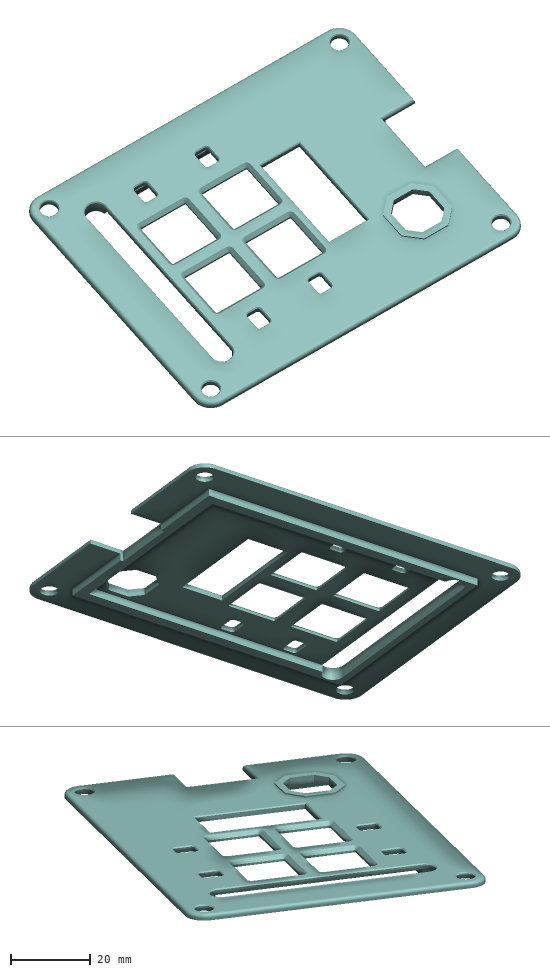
import cadquery as cq
plate_width = 80
plate_length = 100
plate_thickness = 1.6
corner_radius = 5
edge_radius = 1

collar_height = 0.4
collar_x = 20
collar_y = 29.9
collar_width = 16.2
collar_length = 15.7
collar_corner = 4.1
collar_wall = 1.9

overall_height = 4
lip_width = 61.4
lip_length = 81.6
lip_wall = 3
lip_height = overall_height - plate_thickness - collar_height

notch_width = 18.3
notch_depth = 10

screw_diameter = 4.7
screw_x = plate_width / 2 - corner_radius
screw_y = plate_length / 2 - corner_radius

rim_bevel = 0.3

display_width = 29.6
display_length = 12
display_x = -0.2
display_y = 12.3

key_size = 14
key_corner = 0.4
key_bevel = 1
key_pitch = 19
key_centre = (-0.5, -13.1)

button_width = 5.6
button_length = 4.1
button_corner = 0.9
button_pitch_x = 49
button_centre = (-0.6, -12.7)

slot_length = 60.2
slot_width = 5.8
slot_y = -36


def box_below(width, length, height, top=0):
    """Box centred on the Z axis that reaches down from the given top height."""
    return cq.Workplane("XY", origin=(0, 0, top)).rect(width, length).extrude(-height)


def octagon_below(width, length, corner, height):
    """Corner-cut rectangle at the collar position, reaching down from the collar top."""
    prism = box_below(width, length, height, collar_height).edges("|Z").chamfer(corner)
    return prism.translate((collar_x, collar_y, 0))


def rectangle(width, length, corner):
    outline = cq.Sketch().rect(width, length)
    return outline.vertices().fillet(corner) if corner else outline


def bevelled_cutter(outline, rim_outline, bevel, depth=plate_thickness):
    """Straight opening whose rim widens at 45 degrees up to the rim outline."""
    straight = cq.Workplane("XY").placeSketch(outline).extrude(-depth)
    rim = cq.Workplane("XY").placeSketch(rim_outline).extrude(-bevel, taper=45)
    return straight.union(rim)


def window_cutter(width, length, corner, bevel):
    rim_corner = corner + bevel if corner else 0
    rim_outline = rectangle(width + 2 * bevel, length + 2 * bevel, rim_corner)
    return bevelled_cutter(rectangle(width, length, corner), rim_outline, bevel)


def pair(centre, pitch):
    return (centre - pitch / 2, centre + pitch / 2)


def cut_grid(body, cutter, xs, ys):
    for x in xs:
        for y in ys:
            body = body.cut(cutter.translate((x, y, 0)))
    return body


notch = box_below(notch_width, 2 * notch_depth, plate_thickness + lip_height)
notch = notch.translate((0, plate_length / 2, 0))
plate = box_below(plate_width, plate_length, plate_thickness).edges("|Z").fillet(corner_radius)
plate = plate.cut(notch).faces(">Z").edges().fillet(edge_radius)

lip = box_below(lip_width, lip_length, lip_height, -plate_thickness)
lip_inside = box_below(lip_width - 2 * lip_wall, lip_length - 2 * lip_wall, lip_height, -plate_thickness)
body = plate.union(lip.cut(lip_inside).cut(notch))

collar_depth = collar_height + plate_thickness
hole_corner = collar_corner - collar_wall * (2 - 2**0.5)
body = body.union(octagon_below(collar_width, collar_length, collar_corner, collar_depth))
body = body.cut(
    octagon_below(collar_width - 2 * collar_wall, collar_length - 2 * collar_wall, hole_corner, collar_depth)
)

display = window_cutter(display_width, display_length, 0, rim_bevel)
body = body.cut(display.translate((display_x, display_y, 0)))

key = window_cutter(key_size, key_size, key_corner, key_bevel)
key_ys = pair(key_centre[1], key_pitch)
body = cut_grid(body, key, pair(key_centre[0], key_pitch), key_ys)

button = window_cutter(button_width, button_length, button_corner, rim_bevel)
button_ys = pair(button_centre[1], key_pitch)
body = cut_grid(body, button, pair(button_centre[0], button_pitch_x), button_ys)

slot_straight = slot_length - slot_width
slot = bevelled_cutter(
    cq.Sketch().slot(slot_straight, slot_width),
    cq.Sketch().slot(slot_straight, slot_width + 2 * rim_bevel),
    rim_bevel,
    plate_thickness + lip_height,
)
body = body.cut(slot.translate((0, slot_y, 0)))

screw_radius = screw_diameter / 2
screw_hole = bevelled_cutter(
    cq.Sketch().circle(screw_radius),
    cq.Sketch().circle(screw_radius + rim_bevel),
    rim_bevel,
)
result = cut_grid(body, screw_hole, (-screw_x, screw_x), (-screw_y, screw_y))